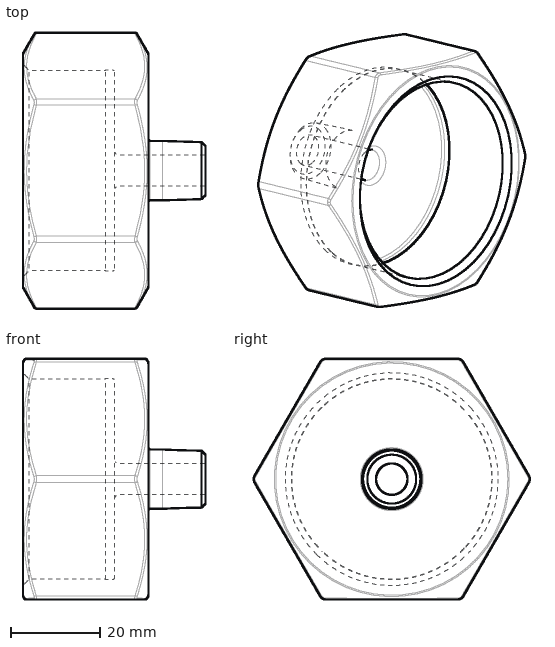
import cadquery as cq
import math

across_flats = 54.0
body_length = 28.15
hex_edge_radius = 1.6
end_face_diameter = 52.35
end_cone_angle = 30.0
end_edge_radius = 0.6

bore_diameter = 44.9
bore_mouth_diameter = 47.7
bore_depth = 20.55
relief_diameter = 45.05
relief_length = 2.05
floor_radius = 0.5

spigot_diameter = 13.35
spigot_length = 12.8
spigot_straight_length = 3.1
spigot_taper = 1 / 16
spigot_tip_chamfer = 0.9
spigot_root_radius = 0.4

hole_diameter = 7.0
hole_mouth_radius = 1.0

total_length = body_length + spigot_length


def start_profile(x):
    """Begin a half profile on the X axis at the given position."""
    return cq.Workplane("XY").moveTo(x, 0)


def revolve_about_x(profile):
    """Close a half profile along the X axis and revolve it fully."""
    return profile.close().revolve(360, (0, 0, 0), (1, 0, 0))


def make_hexagon():
    """Hexagonal prism with both ends turned to a cone and every edge rounded."""
    across_corners = across_flats / math.cos(math.radians(30))
    prism = (
        cq.Workplane("YZ")
        .polygon(6, across_corners)
        .extrude(body_length)
        .edges("|X")
        .fillet(hex_edge_radius)
    )
    face_radius = end_face_diameter / 2
    middle = body_length / 2
    middle_radius = face_radius + middle / math.tan(math.radians(end_cone_angle))
    double_cone = revolve_about_x(
        start_profile(0)
        .lineTo(0, face_radius)
        .lineTo(middle, middle_radius)
        .lineTo(body_length, face_radius)
        .lineTo(body_length, 0)
    )
    return prism.intersect(double_cone).edges("not |X").fillet(end_edge_radius)


def make_spigot():
    """Spigot with a round root, a straight neck, a taper and a chamfered tip."""
    radius = spigot_diameter / 2
    root_end = body_length + spigot_root_radius
    neck_end = body_length + spigot_straight_length
    chamfer_start = total_length - spigot_tip_chamfer
    taper_end_radius = radius - (chamfer_start - neck_end) * spigot_taper / 2
    return revolve_about_x(
        start_profile(body_length)
        .lineTo(body_length, radius + spigot_root_radius)
        .radiusArc((root_end, radius), -spigot_root_radius)
        .lineTo(neck_end, radius)
        .lineTo(chamfer_start, taper_end_radius)
        .lineTo(total_length, taper_end_radius - spigot_tip_chamfer)
        .lineTo(total_length, 0)
    )


def make_bore():
    """Chamfered bore with a slightly wider, round-cornered relief at its floor."""
    radius = bore_diameter / 2
    mouth_radius = bore_mouth_diameter / 2
    relief_radius = relief_diameter / 2
    relief_start = bore_depth - relief_length
    return revolve_about_x(
        start_profile(0)
        .lineTo(0, mouth_radius)
        .lineTo(mouth_radius - radius, radius)
        .lineTo(relief_start, radius)
        .lineTo(relief_start, relief_radius)
        .lineTo(bore_depth - floor_radius, relief_radius)
        .radiusArc((bore_depth, relief_radius - floor_radius), floor_radius)
        .lineTo(bore_depth, 0)
    )


def make_hole():
    """Through hole whose mouth in the bore floor is rounded over."""
    radius = hole_diameter / 2
    return revolve_about_x(
        start_profile(bore_depth)
        .lineTo(bore_depth, radius + hole_mouth_radius)
        .radiusArc((bore_depth + hole_mouth_radius, radius), -hole_mouth_radius)
        .lineTo(total_length, radius)
        .lineTo(total_length, 0)
    )


result = make_hexagon().union(make_spigot()).cut(make_bore()).cut(make_hole())